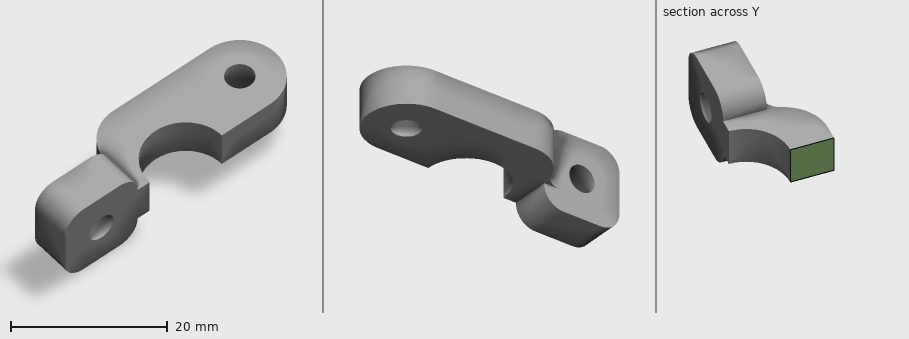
import cadquery as cq
import math

width = 12.0
length = 40.0
arm_thickness = 5.7
hole_diameter = 4.0
lower_arc_offset = 16.0
notch_offset = 14.0
notch_radius = 6.0
neck_radius = 3.0
tab_size = 12.0
tab_thickness = 6.0
tab_corner_radius = 3.0

end_radius = width / 2
side_x = width / 2
tab_inner_x = side_x - tab_thickness
tab_center_y = end_radius - length + tab_size / 2

neck_center_x = tab_inner_x - neck_radius
centre_distance = end_radius + neck_radius
neck_drop = math.sqrt(centre_distance**2 - neck_center_x**2)
neck_end_y = -lower_arc_offset - neck_drop
neck_angle = math.atan2(neck_drop, -neck_center_x)


def arc_point(center_x, center_y, radius, angle):
    """Point on a circle at an angle in radians from +X."""
    return (center_x + radius * math.cos(angle), center_y + radius * math.sin(angle))


def make_arm():
    """Flat arm with a round end, a half-round side notch and a necked lower end."""
    round_end_angle = math.pi + neck_angle
    round_mid = arc_point(0, -lower_arc_offset, end_radius, math.pi + neck_angle / 2)
    round_end = arc_point(0, -lower_arc_offset, end_radius, round_end_angle)
    neck_mid = arc_point(neck_center_x, neck_end_y, neck_radius, neck_angle / 2)
    return (
        cq.Workplane("XY")
        .moveTo(side_x, 0)
        .threePointArc((0, end_radius), (-side_x, 0))
        .lineTo(-side_x, -lower_arc_offset)
        .threePointArc(round_mid, round_end)
        .threePointArc(neck_mid, (tab_inner_x, neck_end_y))
        .lineTo(side_x, neck_end_y)
        .lineTo(side_x, -notch_offset - notch_radius)
        .threePointArc((side_x - notch_radius, -notch_offset), (side_x, -notch_offset + notch_radius))
        .close()
        .extrude(arm_thickness / 2, both=True)
    )


def make_tab():
    """Upright square tab with rounded corners."""
    return (
        cq.Workplane("XY")
        .box(tab_thickness, tab_size, tab_size)
        .edges("|X")
        .fillet(tab_corner_radius)
        .translate((tab_inner_x + tab_thickness / 2, tab_center_y, 0))
    )


arm_hole = cq.Workplane("XY").circle(hole_diameter / 2).extrude(arm_thickness, both=True)
tab_hole = (
    cq.Workplane("YZ").center(tab_center_y, 0).circle(hole_diameter / 2).extrude(width, both=True)
)

result = make_arm().union(make_tab()).cut(arm_hole).cut(tab_hole)